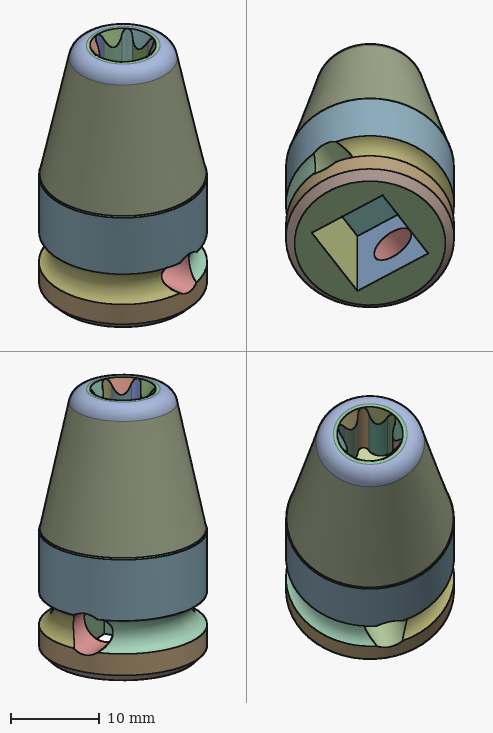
import cadquery as cq
import math

height = 32.0
radius = 9.5

base_chamfer = 1.0
groove_z = 5.57
groove_half_height = 2.0
groove_depth = 1.6
cross_hole_diameter = 5.0
square_side = 9.5
square_depth = 10.88

shoulder_z = 15.15
shoulder_chamfer_height = 0.2
shoulder_chamfer_width = 0.1
neck_radius = radius - shoulder_chamfer_width

rim_radius = 4.15
nose_radius = 2.0
nose_center_z = height - nose_radius

lobe_count = 6
lobe_tip_radius = 3.7
valley_radius = 2.7
lobe_round = 0.65
recess_depth = 8.0
lead_in_half_angle = 30.0


def make_drive():
    """Lower body: grooved cylinder with a square drive and a cross hole along X."""
    profile = (
        cq.Workplane("XZ")
        .lineTo(radius - base_chamfer, 0)
        .lineTo(radius, base_chamfer)
        .lineTo(radius, groove_z - groove_half_height)
        .threePointArc((radius - groove_depth, groove_z), (radius, groove_z + groove_half_height))
        .lineTo(radius, shoulder_z - shoulder_chamfer_height)
        .lineTo(neck_radius, shoulder_z)
        .lineTo(0, shoulder_z)
        .close()
    )
    body = profile.revolve(360, (0, 0), (0, 1))
    square = cq.Workplane("XY").rect(square_side, square_side).extrude(square_depth)
    cross_hole = (
        cq.Workplane("YZ")
        .center(0, groove_z)
        .circle(cross_hole_diameter / 2)
        .extrude(radius, both=True)
    )
    return body.cut(square).cut(cross_hole)


def nose_point(angle):
    """Point (r, z) on the nose round, at an angle above horizontal in radians."""
    return (
        rim_radius + nose_radius * math.cos(angle),
        nose_center_z + nose_radius * math.sin(angle),
    )


def make_cone():
    """Solid cone whose side runs tangent into the nose round."""
    reach = neck_radius - rim_radius
    drop = nose_center_z - shoulder_z
    tangent_angle = math.acos(nose_radius / math.hypot(reach, drop)) - math.atan2(drop, reach)
    middle_angle = (tangent_angle + math.pi / 2) / 2
    profile = (
        cq.Workplane("XZ")
        .moveTo(0, shoulder_z)
        .lineTo(neck_radius, shoulder_z)
        .lineTo(*nose_point(tangent_angle))
        .threePointArc(nose_point(middle_angle), (rim_radius, height))
        .lineTo(0, height)
        .close()
    )
    return profile.revolve(360, (0, 0), (0, 1))


def polar(distance, angle):
    return (distance * math.cos(angle), distance * math.sin(angle))


def make_lobed_recess():
    """Six-lobed prism of convex tip arcs and concave valley arcs, all tangent."""
    half_pitch = math.pi / lobe_count
    tip_center = lobe_tip_radius - lobe_round
    cosine = math.cos(half_pitch)
    valley_round = (
        tip_center**2 + valley_radius**2 - 2 * tip_center * valley_radius * cosine - lobe_round**2
    ) / (2 * (lobe_round - valley_radius + tip_center * cosine))
    valley_center = valley_radius + valley_round
    valley_x, valley_y = polar(valley_center, half_pitch)
    share = lobe_round / (lobe_round + valley_round)
    tangent_x = tip_center + share * (valley_x - tip_center)
    tangent_y = share * valley_y
    tangent_radius = math.hypot(tangent_x, tangent_y)
    tangent_angle = math.atan2(tangent_y, tangent_x)

    outline = cq.Workplane("XY").workplane(offset=height - recess_depth)
    outline = outline.moveTo(*polar(tangent_radius, -tangent_angle))
    for lobe in range(lobe_count):
        tip = 2 * half_pitch * lobe
        valley = tip + half_pitch
        next_tip = valley + half_pitch
        outline = outline.threePointArc(
            polar(lobe_tip_radius, tip), polar(tangent_radius, tip + tangent_angle)
        )
        outline = outline.threePointArc(
            polar(valley_radius, valley), polar(tangent_radius, next_tip - tangent_angle)
        )
    return outline.close().extrude(recess_depth)


def make_lead_in():
    """Cone that bevels the mouth of the recess between the lobe tips."""
    depth = lobe_tip_radius / math.tan(math.radians(lead_in_half_angle))
    return cq.Workplane(cq.Solid.makeCone(0, lobe_tip_radius, depth, cq.Vector(0, 0, height - depth)))


def make_socket():
    """Upper body: cone with the six-lobed recess in its nose."""
    return make_cone().cut(make_lobed_recess()).cut(make_lead_in())


drive = make_drive()
socket = make_socket()

result = cq.Compound.makeCompound([drive.val(), socket.val()])